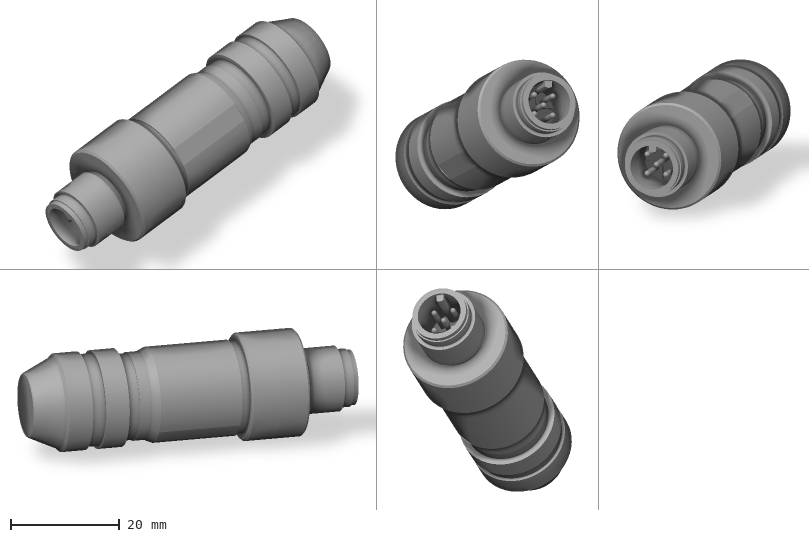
import cadquery as cq

length = 62.0

collar_front = 10.4
collar_half_length = 5.6
collar_diameter = 20.0
collar_radius = collar_diameter / 2
collar_chamfer = 0.4
joint = collar_front + collar_half_length
collar_back = joint + collar_half_length

tip_radius = 5.15
tip_end = 0.9
nose_radius = 5.4
nose_end = 2.85
barrel_radius = 6.1
barrel_end = 9.3
neck_radius = 5.6

socket_radius = 4.1
socket_depth = 8.7
key_width = 1.35
key_height = 1.35
key_front = 0.5
key_tip_sagitta = 0.25
cross_width = 1.35
cross_depth = 0.6
pin_radius = 0.5
pin_dome = 0.49
pin_tip = 2.5
pin_offset = 1.8
cross_fillet = pin_offset - cross_width / 2

groove_radius = 8.55
grip_start = 23.05
grip_end = 38.55
grip_radius = 8.85
flat_distance = 8.7
shoulder_end = 40.1
shoulder_radius = 8.2
shoulder_land_end = 42.35
gap_radius = 8.0

nut_start = 44.6
nut_radius = 9.1
nut_band_length = 4.45
nut_groove_end = 51.5
nut_end = nut_groove_end + nut_band_length
cone_start = 56.55
cone_start_radius = 8.5
cone_end_radius = 6.0
end_chamfer = 0.2


def revolve_about_y(points):
    """Revolve a closed (radius, y) outline, drawn in the YZ plane, about the Y axis."""
    section = cq.Plane(origin=(0, 0, 0), xDir=(0, 0, 1), normal=(-1, 0, 0))
    return cq.Workplane(section).polyline(points).close().revolve(360, (0, 0, 0), (0, 1, 0))


def facing_plug(y):
    """Workplane at height y, looking along -Y out of the socket, with local X and Y along X and Z."""
    return cq.Workplane(cq.Plane(origin=(0, y, 0), xDir=(1, 0, 0), normal=(0, -1, 0)))


def plug_shell():
    return revolve_about_y([
        (0, 0),
        (tip_radius, 0),
        (tip_radius, tip_end),
        (nose_radius, tip_end),
        (nose_radius, nose_end),
        (barrel_radius, nose_end),
        (barrel_radius, barrel_end),
        (neck_radius, barrel_end),
        (neck_radius, collar_front),
        (collar_radius - collar_chamfer, collar_front),
        (collar_radius, collar_front + collar_chamfer),
        (collar_radius, joint),
        (0, joint),
    ])


def socket_bore():
    return facing_plug(socket_depth).circle(socket_radius).extrude(socket_depth)


def cross_recess():
    """Cross-shaped groove in the insert face, with rounded inner corners."""
    floor = facing_plug(socket_depth + cross_depth)
    across = floor.rect(2 * socket_radius, cross_width).extrude(cross_depth)
    upright = floor.rect(cross_width, 2 * socket_radius).extrude(cross_depth)
    reach = cross_width
    inner_corners = cq.selectors.BoxSelector((-reach, 0, -reach), (reach, length, reach))
    cross = across.union(upright).edges("|Y").edges(inner_corners).fillet(cross_fillet)
    return cross.intersect(floor.circle(socket_radius).extrude(cross_depth))


def key():
    """Rib on the top of the socket wall, with a rounded inner edge."""
    half = key_width / 2
    root = (socket_radius + tip_radius) / 2
    crest = socket_radius - key_height
    return (
        facing_plug(socket_depth + cross_depth)
        .moveTo(-half, root)
        .lineTo(-half, crest + key_tip_sagitta)
        .threePointArc((0, crest), (half, crest + key_tip_sagitta))
        .lineTo(half, root)
        .close()
        .extrude(socket_depth + cross_depth - key_front)
    )


def contact_pins():
    """Centre contact and four around it, round-tipped and rooted in the insert."""
    side = pin_offset
    places = [(0, 0), (side, side), (-side, side), (-side, -side), (side, -side)]
    root = socket_depth + 2 * cross_depth
    return (
        facing_plug(root)
        .pushPoints(places)
        .circle(pin_radius)
        .extrude(root - pin_tip)
        .faces("<Y")
        .edges()
        .fillet(pin_dome)
    )


def make_plug():
    return plug_shell().cut(socket_bore()).cut(cross_recess()).union(key()).union(contact_pins())


def wrench_flats():
    """Two opposite slabs that cut the grip flat on the diagonal between +X and +Z."""
    slab_depth = grip_radius
    slab = cq.Workplane("XY").box(
        slab_depth, grip_end - grip_start, 2 * grip_radius
    ).translate((flat_distance + slab_depth / 2, (grip_start + grip_end) / 2, 0))
    first = slab.rotate((0, 0, 0), (0, 1, 0), -45)
    return first.union(first.rotate((0, 0, 0), (0, 1, 0), 180))


def make_housing():
    body = revolve_about_y([
        (0, joint),
        (collar_radius, joint),
        (collar_radius, collar_back - collar_chamfer),
        (collar_radius - collar_chamfer, collar_back),
        (groove_radius, collar_back),
        (groove_radius, grip_start),
        (grip_radius, grip_start),
        (grip_radius, grip_end),
        (shoulder_radius, shoulder_end),
        (shoulder_radius, shoulder_land_end),
        (gap_radius, shoulder_land_end),
        (gap_radius, nut_start),
        (nut_radius, nut_start),
        (nut_radius, nut_start + nut_band_length),
        (groove_radius, nut_start + nut_band_length),
        (groove_radius, nut_groove_end),
        (nut_radius, nut_groove_end),
        (nut_radius, nut_end),
        (cone_start_radius, cone_start),
        (cone_end_radius, length - end_chamfer),
        (cone_end_radius - end_chamfer, length),
        (0, length),
    ])
    return body.cut(wrench_flats())


plug = make_plug()
housing = make_housing()

result = cq.Compound.makeCompound([plug.val(), housing.val()])